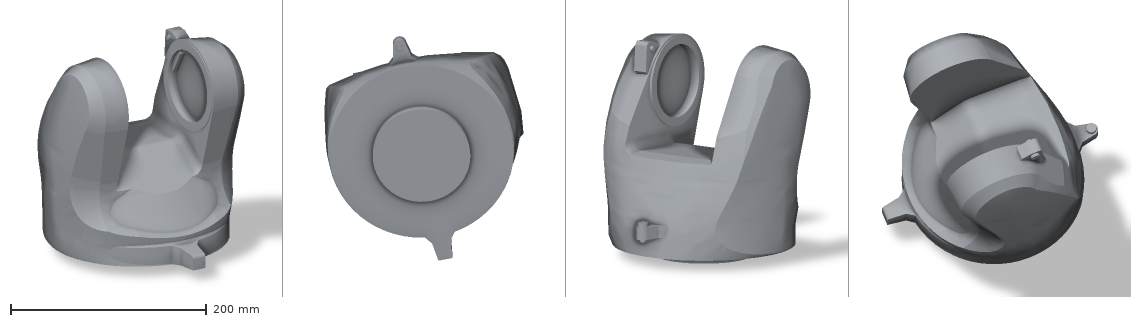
import cadquery as cq
import math

base_radius = 92.8
rim_height = 20.2
spigot_radius = 50.0
spigot_height = 11.8
top_height = 209.6

head_radius = 49.1
head_x = 21.2
head_z = top_height - head_radius
neck_radius = 41.8
neck_x = 85.0
neck_z = 72.0
wall_neck_flare = 3.8
head_left_angle = math.radians(150)
foot_angle = math.radians(248)
far = 164.5
below = -58.8

draft_start_y = 47.0
draft_inset = 4.0
bevel_mid_y = 80.0
draft_angle = math.degrees(math.atan(draft_inset / (bevel_mid_y - draft_start_y)))
bevel_lead = 9.5
bevel_angle = 36.0
side_end_y = 105.8
bevel_left = [(-63.5, below), (-63.5, 0), (-72.0, 51.7)]

dome_top_z = 108.0
dome_top_x = -155.1
dome_top_radius = 178.6

inner_y_front = -54.0
inner_y_back = 47.0
web_y = 48.0
web_bend_x = -14.0
web_bend_radius = 94.0
web_left_x = -84.5
web_left_y = 59.7
floor_z = 100.0
floor_left_x = -70.5
floor_left_z = 96.8
floor_crest_x = -51.7
floor_bend_x = 8.5
floor_bend_radius = 18.8
floor_end_x = 58.0
floor_end_z = 64.5
floor_fillet = 9.5
selection_margin = 0.2

seat_boss_radius = 47.0
seat_boss_length = 11.8
seat_radius = 38.0
seat_depth = 10.3

latch_tip_x = -109.0
latch_tip_radius = 6.8
latch_neck_x = -95.2
latch_neck_half = 9.9
latch_root_x = -87.0
latch_root_half = 18.8
latch_z = 21.9
latch_height = 12.7
latch_head_radius = 5.2
latch_head_height = 4.5
pin_radius = 2.8
pin_stub = 2.8

tail_end_x = 119.2
tail_root_x = 84.5
tail_root_half = 21.2
tail_root_z = 21.6
tail_end_z = 14.8
tail_end_fillet = 3.5
tail_mid_x = 99.5
tail_mid_half = 9.9
tail_end_half = 7.3

clip_y = 51.2
clip_width = 14.5
clip_points = [(-30.5, 177.5), (-28.2, 208.5), (-16.5, 207.3), (-6.0, 203.0), (0.0, 188.0), (-14.0, 164.5)]
clip_fillet = 4.7
clip_pin_x = -20.2
clip_pin_z = 200.5
clip_head_radius = 4.7
clip_head_length = 3.0


def polar(cx, cz, radius, angle):
    return (cx + radius * math.cos(angle), cz + radius * math.sin(angle))


def arm_outline(inset, neck_flare, left_side):
    """Closed XZ outline: left side, round head, straight flank, concave neck and sloping foot."""
    head = head_radius - inset
    neck = neck_radius + inset - neck_flare
    dx = neck_x - head_x
    dz = neck_z - head_z
    flank_angle = math.atan2(dz, dx) + math.acos((head + neck) / math.hypot(dx, dz))
    neck_angle = flank_angle + math.pi
    head_start = polar(head_x, head_z, head, head_left_angle)
    head_end = polar(head_x, head_z, head, flank_angle)
    neck_start = polar(neck_x, neck_z, neck, neck_angle)
    neck_middle = polar(neck_x, neck_z, neck, (neck_angle + foot_angle) / 2)
    neck_end = polar(neck_x, neck_z, neck, foot_angle)
    foot_z = neck_end[1] - (far - neck_end[0]) / math.tan(foot_angle - math.pi)
    outline = cq.Workplane("XZ").moveTo(*left_side[0])
    if len(left_side) > 1:
        outline = outline.lineTo(*left_side[1])
        outline = outline.threePointArc(left_side[2], head_start)
    else:
        outline = outline.lineTo(*head_start)
    return (
        outline.threePointArc((head_x, head_z + head), head_end)
        .lineTo(*neck_start)
        .threePointArc(neck_middle, neck_end)
        .lineTo(far, foot_z)
        .lineTo(far, below)
        .close()
    )


def narrowing_ends(outline, start_y, angle):
    """Outline extruded outwards from +-start_y, narrowing towards both ends."""
    wire = outline.wires().val().translate(cq.Vector(0, -start_y, 0))
    end = cq.Workplane("XZ", origin=(0, -start_y, 0)).add(wire).toPending()
    end = end.extrude(side_end_y - start_y, taper=angle)
    return end.union(end.mirror("XZ"))


def ring_loft(sections):
    """Loft through ellipses given as (z, centre x, half size x, half size y)."""
    rings = [
        cq.Workplane("XY", origin=(cx, 0, z)).ellipse(rx, ry).wires().val()
        for z, cx, rx, ry in sections
    ]
    return cq.Workplane(cq.Solid.makeLoft(rings))


def make_arms():
    """Drafted arm walls, with a bevel running round their outer faces."""
    head_start = polar(head_x, head_z, head_radius, head_left_angle)
    drop = head_start[1] - below
    wall_foot = (head_start[0] - drop * math.tan(math.pi - head_left_angle), below)
    wall_outline = arm_outline(0, wall_neck_flare, [wall_foot])
    walls = wall_outline.extrude(draft_start_y, both=True)
    walls = walls.union(narrowing_ends(wall_outline, draft_start_y, draft_angle))
    bevel_inset = draft_inset - bevel_lead * math.tan(math.radians(bevel_angle))
    bevel_start_y = bevel_mid_y - bevel_lead
    bevels = narrowing_ends(arm_outline(bevel_inset, 0, bevel_left), bevel_start_y, bevel_angle)
    bevels = bevels.union(cq.Workplane("XY").box(4 * far, 2 * bevel_start_y, 4 * far))
    return walls.intersect(bevels)


def make_centre():
    """Round rim with a dome that leans back towards -X."""
    dome = ring_loft(
        [(rim_height, 0, base_radius, base_radius), (dome_top_z, dome_top_x, dome_top_radius, dome_top_radius)]
    )
    rim = cq.Workplane("XY").circle(base_radius).extrude(rim_height)
    return dome.union(rim).intersect(cq.Workplane("XY").circle(base_radius).extrude(dome_top_z))


def make_envelope():
    """Barrel that crowns the outer faces of the arms."""
    return ring_loft(
        [
            (0, -2.4, 95.5, 95.5),
            (33, -2.4, 95.5, 97.8),
            (65.8, 4.7, 110.5, 99.5),
            (105.8, 11.8, 136.3, 100.0),
            (159.8, 18.8, 131.5, 98.2),
            (216.2, 18.8, 122.2, 78.7),
        ]
    )


def make_flank():
    """Left side, round at the base and flatter higher up."""
    rings = ring_loft(
        [(0, 0, 94, 94), (35.3, 51.7, 141, 141), (70.5, 137.7, 216.2, 216.2), (105.8, 239.3, 305.5, 305.5), (216.2, 385.5, 399.5, 399.5)]
    )
    return rings.intersect(cq.Workplane("XY").box(2 * tail_end_x, 2 * far, 4 * far))


def make_saddle():
    """Space between the arms, above the bent floor."""
    floor_slope = (floor_end_z - floor_z) / (floor_end_x - floor_bend_x)
    bend_edge = cq.selectors.NearestToPointSelector((floor_bend_x, 0, floor_z))
    web_bend_edge = cq.selectors.NearestToPointSelector((web_bend_x, web_y, 0))
    above = (
        cq.Workplane("XZ")
        .moveTo(-far, floor_left_z)
        .lineTo(floor_left_x, floor_left_z)
        .lineTo(floor_crest_x, floor_z)
        .lineTo(floor_bend_x, floor_z)
        .lineTo(far, floor_z + floor_slope * (far - floor_bend_x))
        .lineTo(far, 2 * far)
        .lineTo(-far, 2 * far)
        .close()
        .extrude(far, both=True)
        .edges(bend_edge)
        .fillet(floor_bend_radius)
    )
    gap = (
        cq.Workplane("XY")
        .moveTo(-far, inner_y_front)
        .lineTo(far, inner_y_front)
        .lineTo(far, web_y)
        .lineTo(web_bend_x, web_y)
        .lineTo(web_left_x, web_left_y)
        .lineTo(-far, web_left_y)
        .close()
        .extrude(2 * far, both=True)
        .edges(web_bend_edge)
        .fillet(web_bend_radius)
    )
    saddle = above.intersect(gap)
    floor_corner = cq.selectors.BoxSelector(
        (-far, web_y - selection_margin, -far),
        (far, web_left_y + selection_margin, floor_z + selection_margin),
    )
    return saddle.edges("not |Z").edges(floor_corner).fillet(floor_fillet)


def make_seat_boss():
    return (
        cq.Workplane("XZ", origin=(head_x, inner_y_back, head_z))
        .circle(seat_boss_radius)
        .extrude(-seat_boss_length)
    )


def make_seat():
    return cq.Workplane("XZ", origin=(head_x, inner_y_back, head_z)).circle(seat_radius).extrude(-seat_depth)


def make_spigot():
    return cq.Workplane("XY").circle(spigot_radius).extrude(-spigot_height)


def make_latch():
    """Tapered lug with a round tip and an upright headed pin."""
    lug = (
        cq.Workplane("XY", origin=(0, 0, latch_z))
        .moveTo(latch_root_x, latch_root_half)
        .lineTo(latch_neck_x, latch_neck_half)
        .lineTo(latch_tip_x, latch_tip_radius)
        .threePointArc((latch_tip_x - latch_tip_radius, 0), (latch_tip_x, -latch_tip_radius))
        .lineTo(latch_neck_x, -latch_neck_half)
        .lineTo(latch_root_x, -latch_root_half)
        .close()
        .extrude(latch_height)
    )
    head = (
        cq.Workplane("XY", origin=(latch_tip_x, 0, latch_z))
        .circle(latch_head_radius)
        .extrude(latch_height + latch_head_height)
    )
    stub = cq.Workplane("XY", origin=(latch_tip_x, 0, latch_z)).circle(pin_radius).extrude(-pin_stub)
    return lug.union(head).union(stub)


def make_tail():
    """Lug that narrows outwards, with a sloping top and a rounded end."""
    plan = (
        cq.Workplane("XY")
        .moveTo(tail_root_x, tail_root_half)
        .lineTo(tail_mid_x, tail_mid_half)
        .lineTo(tail_end_x, tail_end_half)
        .lineTo(tail_end_x, -tail_end_half)
        .lineTo(tail_mid_x, -tail_mid_half)
        .lineTo(tail_root_x, -tail_root_half)
        .close()
        .extrude(tail_root_z)
    )
    side = (
        cq.Workplane("XZ")
        .moveTo(tail_root_x, 0)
        .lineTo(tail_root_x, tail_root_z)
        .lineTo(tail_end_x, tail_end_z)
        .lineTo(tail_end_x, 0)
        .close()
        .extrude(far, both=True)
        .edges("|Y")
        .edges(">X")
        .edges(">Z")
        .fillet(tail_end_fillet)
    )
    return plan.intersect(side)


def make_clip():
    """Upright plate on the back arm's sloping edge, crossed by a headed pin."""
    plate = (
        cq.Workplane("XZ", origin=(0, clip_y, 0))
        .polyline(clip_points)
        .close()
        .extrude(-clip_width)
        .edges("|Y")
        .edges(">Z")
        .fillet(clip_fillet)
    )
    shank = (
        cq.Workplane("XZ", origin=(clip_pin_x, clip_y - pin_stub, clip_pin_z))
        .circle(pin_radius)
        .extrude(-clip_width - pin_stub)
    )
    head = (
        cq.Workplane("XZ", origin=(clip_pin_x, clip_y + clip_width, clip_pin_z))
        .circle(clip_head_radius)
        .extrude(-clip_head_length)
    )
    return plate.union(shank).union(head)


flank = make_flank()
envelope = make_envelope()
arms = make_arms().intersect(flank.intersect(envelope))
centre = make_centre().intersect(flank)
body = arms.union(centre)
body = body.cut(make_saddle()).union(make_seat_boss()).cut(make_seat())
body = body.union(make_spigot()).union(make_latch()).union(make_tail()).union(make_clip())
result = body